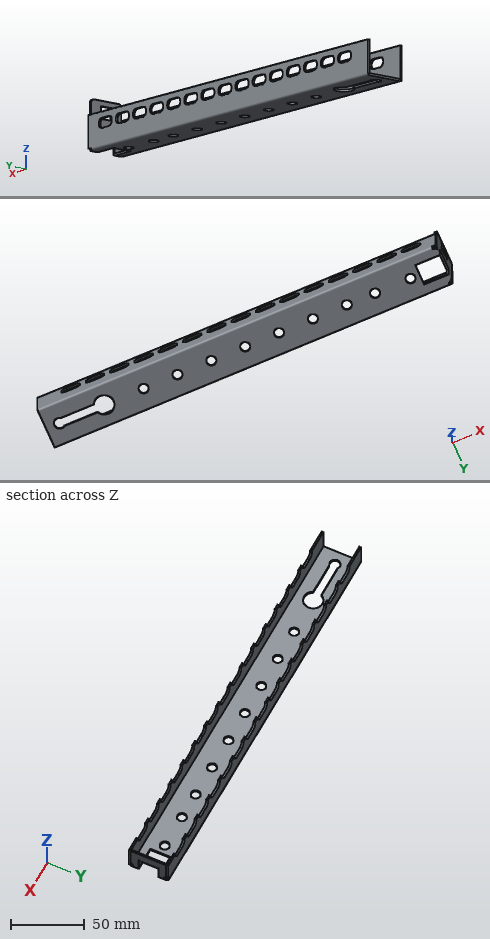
import cadquery as cq

length = 295.0
width = 30.0
total_height = 36.5
wall_height = 25.0
sheet = 1.62
bend_radius = sheet

flange_width = 26.5
flange_corner = 2.7
wall_setback = 0.3
notch_length = 2.7
relief_diameter = 3.0
relief_z = 2.0

slot_count = 15
slot_length = 14.0
slot_height = 7.0
slot_pitch = 18.0
slot_row_middle = 150.7
slot_z = 17.0

keyhole_small_x = 10.0
keyhole_small_diameter = 7.7
keyhole_large_x = 43.0
keyhole_large_diameter = 14.0
keyhole_neck_width = 6.2

hole_diameter = 6.8
hole_pitch = 25.0
hole_row_count = 7
extra_hole_positions = [243.7, 270.0]

window_width = 15.0
window_start_x = 276.7
window_top_z = 11.0
flange_hole_width = 9.5
flange_hole_height = 8.8
flange_hole_z = 28.3

body_length = length - wall_setback
flange_inner_x = length - sheet
fold_start_x = length - notch_length


def box(x_start, x_end, box_width, z_start, z_end):
    """Block spanning the given X and Z ranges, centred on the XZ plane."""
    return cq.Workplane("XY").box(
        x_end - x_start, box_width, z_end - z_start, centered=(False, True, False)
    ).translate((x_start, 0, z_start))


def make_channel():
    outside = box(0, body_length, width, 0, wall_height).edges("|X and <Z").fillet(bend_radius)
    inside = box(0, body_length, width - 2 * sheet, sheet, wall_height)
    return outside.cut(inside)


def make_fold_notch():
    """Space for the flange fold: the floor and its side folds end here, the walls carry on above."""
    return box(fold_start_x, length, width, 0, bend_radius)


def make_flange():
    """Upright end flange with its fold into the floor and relieved lower corners."""
    outside = box(fold_start_x, length, flange_width, 0, total_height)
    outside = outside.edges("|Y and >X and <Z").fillet(bend_radius)
    inside = box(fold_start_x, flange_inner_x, flange_width, sheet, total_height)
    flange = outside.cut(inside).edges("|X and >Z").fillet(flange_corner)
    reliefs = (
        cq.Workplane("YZ", origin=(flange_inner_x, 0, 0))
        .pushPoints([(side * flange_width / 2, relief_z) for side in (-1, 1)])
        .circle(relief_diameter / 2)
        .extrude(sheet)
    )
    return flange.cut(reliefs)


def make_wall_slots():
    return (
        cq.Workplane("XZ", origin=(slot_row_middle, 0, slot_z))
        .rarray(slot_pitch, 3, slot_count, 1)
        .slot2D(slot_length, slot_height)
        .extrude(width, both=True)
    )


def make_floor_holes():
    row = [length / 2 + hole_pitch * (i - (hole_row_count - 1) / 2) for i in range(hole_row_count)]
    return (
        cq.Workplane("XY")
        .pushPoints([(x, 0) for x in row + extra_hole_positions])
        .circle(hole_diameter / 2)
        .extrude(sheet)
    )


def make_keyhole():
    small = cq.Workplane("XY").center(keyhole_small_x, 0).circle(keyhole_small_diameter / 2)
    large = cq.Workplane("XY").center(keyhole_large_x, 0).circle(keyhole_large_diameter / 2)
    neck = box(keyhole_small_x, keyhole_large_x, keyhole_neck_width, 0, sheet)
    return neck.union(small.extrude(sheet)).union(large.extrude(sheet))


def make_end_openings():
    window = box(window_start_x, length, window_width, 0, window_top_z)
    hole_bottom = flange_hole_z - flange_hole_height / 2
    hole = box(flange_inner_x, length, flange_hole_width, hole_bottom, hole_bottom + flange_hole_height)
    return window.union(hole)


result = (
    make_channel()
    .cut(make_fold_notch())
    .union(make_flange())
    .cut(make_wall_slots())
    .cut(make_floor_holes())
    .cut(make_keyhole())
    .cut(make_end_openings())
)